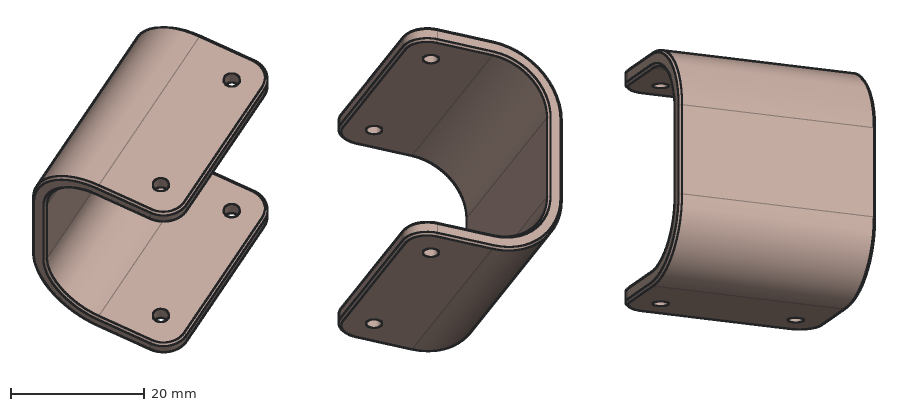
import cadquery as cq

height = 36.6
width = 32.0
depth = 24.4

thickness = 2.4
bend_radius = 11.3
corner_radius = 4.0
edge_chamfer = 0.4

hole_diameter = 2.4
hole_edge_distance = 5.0

web_x = -depth / 2
flange_end_x = depth / 2


def rounded_block(start_x, block_height, radius):
    """Block from start_x to the flange ends with its two -X edges rounded."""
    length = flange_end_x - start_x
    return (
        cq.Workplane("XY")
        .box(length, width, block_height)
        .edges("|Y and <X")
        .fillet(radius)
        .translate((start_x + length / 2, 0, 0))
    )


outer = rounded_block(web_x, height, bend_radius)
inner = rounded_block(web_x + thickness, height - 2 * thickness, bend_radius - thickness)
bracket = outer.cut(inner)

bracket = bracket.edges("|Z and >X").fillet(corner_radius)

flange_end_edges = bracket.faces(">X").edges("|Y")
bracket = flange_end_edges.chamfer(edge_chamfer)

hole_x = flange_end_x - hole_edge_distance
hole_y = width / 2 - hole_edge_distance
holes = (
    cq.Workplane("XY")
    .pushPoints([(hole_x, -hole_y), (hole_x, hole_y)])
    .circle(hole_diameter / 2)
    .extrude(height / 2, both=True)
)

result = bracket.cut(holes)